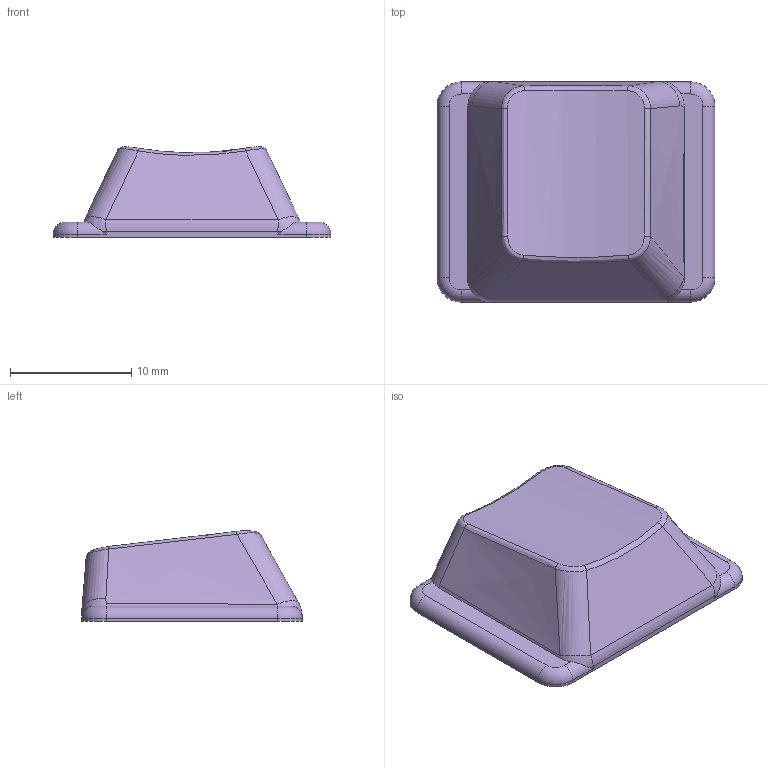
import math

import cadquery as cq

flange_length = 22.92
flange_thickness = 1.25
flange_corner_radius = 2.0
flange_rim_radius = 1.0

cap_side = 18.16
half_side = cap_side / 2
shoulder_height = 1.0
side_edge_radius = 2.0
top_edge_radius = 0.45

rim_half_width = 6.0
rim_front_y = -5.34
rim_front_height = 7.67
rim_back_y = 8.67
rim_back_height = 5.99

dish_radius = 25.0
dish_tilt = math.atan2(rim_front_height - rim_back_height, rim_back_y - rim_front_y)
dish_floor_height = 6.33

overrun = 1.25

length_tolerance = 0.001


def make_flange():
    plate = cq.Workplane("XY").rect(flange_length, cap_side).extrude(flange_thickness)
    rounded_plate = plate.edges("|Z").fillet(flange_corner_radius)
    return rounded_plate.faces(">Z").edges().fillet(flange_rim_radius)


def past_rim(skirt_value, rim_value):
    """Coordinate reached by a sloping corner edge that runs on past the rim."""
    return skirt_value + overrun * (rim_value - skirt_value)


def four_sided_wire(half_width, front_y, front_height, back_y, back_height):
    corners = [
        cq.Vector(-half_width, front_y, front_height),
        cq.Vector(half_width, front_y, front_height),
        cq.Vector(half_width, back_y, back_height),
        cq.Vector(-half_width, back_y, back_height),
    ]
    return cq.Wire.makePolygon(corners, close=True)


def make_cap_blank():
    """Sharp-edged cap: upright skirt, then straight-ruled sides up to a tilted top."""
    bottom = four_sided_wire(half_side, -half_side, 0, half_side, 0)
    shoulder = four_sided_wire(half_side, -half_side, shoulder_height, half_side, shoulder_height)
    top = four_sided_wire(
        past_rim(half_side, rim_half_width),
        past_rim(-half_side, rim_front_y),
        past_rim(shoulder_height, rim_front_height),
        past_rim(half_side, rim_back_y),
        past_rim(shoulder_height, rim_back_height),
    )
    return cq.Workplane(cq.Solid.makeLoft([bottom, shoulder, top], True))


def is_side_edge(edge):
    """True for the shoulder edges and for the corner edges below and above them."""
    ends = (edge.startPoint(), edge.endPoint())
    return any(math.isclose(end.z, shoulder_height, abs_tol=length_tolerance) for end in ends)


def make_dish_cutter():
    cutter = cq.Workplane("XZ").circle(dish_radius).extrude(cap_side, both=True)
    axis_height = dish_floor_height + dish_radius / math.cos(dish_tilt)
    return cutter.rotate((0, 0, 0), (1, 0, 0), -math.degrees(dish_tilt)).translate((0, 0, axis_height))


def make_cap():
    rounded = make_cap_blank().edges().filter(is_side_edge).fillet(side_edge_radius)
    dished = rounded.cut(make_dish_cutter())
    dish_center = (0, 0, dish_floor_height)
    dish_face = dished.faces(cq.selectors.NearestToPointSelector(dish_center))
    return dish_face.edges().fillet(top_edge_radius)


result = make_flange().union(make_cap())